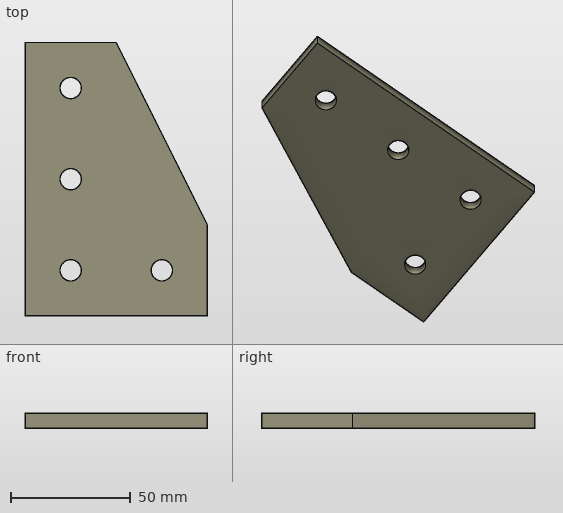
import cadquery as cq

length = 114.3
thickness = 6.4
hole_diameter = 8.8

cell = length / 3
width = 2 * cell

outline = [
    (0, 0),
    (width, 0),
    (width, cell),
    (cell, length),
    (0, length),
]
plate = cq.Workplane("XY").polyline(outline).close().extrude(thickness)

hole_cells = [(0, 0), (0, 1), (0, 2), (1, 0)]
hole_centres = [((column + 0.5) * cell, (row + 0.5) * cell) for column, row in hole_cells]
holes = cq.Workplane("XY").pushPoints(hole_centres).circle(hole_diameter / 2).extrude(thickness)

result = plate.cut(holes)